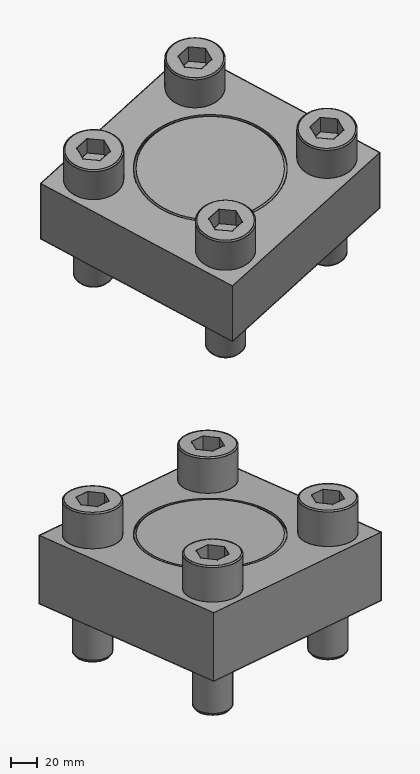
import cadquery as cq
import math

plate_side = 180.0
plate_thickness = 57.5

spigot_diameter = 135.0
spigot_height = 4.5

groove_outer_diameter = 114.3
groove_width = 2.0
groove_depth = 2.0

overall_height = 130.0
screw_spacing = 123.8
head_diameter = 45.0
head_height = 30.0
head_chamfer = 1.0
shank_diameter = 30.0
shank_tip_chamfer = 2.5
shank_tip_inset = 2.0
socket_across_flats = 22.0
socket_depth = 15.0

head_top = plate_thickness + head_height
shank_bottom = head_top - overall_height


def make_plate():
    """Plate and its spigot."""
    plate = cq.Workplane("XY").box(plate_side, plate_side, plate_thickness, centered=(True, True, False))
    spigot = cq.Workplane("XY").circle(spigot_diameter / 2).extrude(-spigot_height)
    return plate.union(spigot)


def make_ring_groove():
    """Ring with an upright outer wall and a sloping inner wall."""
    outer_radius = groove_outer_diameter / 2
    profile = (
        cq.Workplane("XZ")
        .moveTo(outer_radius - groove_width, plate_thickness)
        .lineTo(outer_radius, plate_thickness)
        .lineTo(outer_radius, plate_thickness - groove_depth)
        .close()
    )
    return profile.revolve(360, (0, 0, 0), (0, 1, 0))


def make_screw():
    """One screw on the Z axis, running down through the plate."""
    shank = (
        cq.Workplane("XY", origin=(0, 0, shank_bottom))
        .circle(shank_diameter / 2)
        .extrude(plate_thickness - shank_bottom)
        .faces("<Z")
        .chamfer(shank_tip_chamfer, shank_tip_inset)
    )
    head = (
        cq.Workplane("XY", origin=(0, 0, plate_thickness))
        .circle(head_diameter / 2)
        .extrude(head_height)
        .faces(">Z")
        .chamfer(head_chamfer)
    )
    socket_across_corners = socket_across_flats / math.cos(math.radians(30))
    socket = (
        cq.Workplane("XY", origin=(0, 0, head_top))
        .polygon(6, socket_across_corners)
        .extrude(-socket_depth)
        .rotate((0, 0, 0), (0, 0, 1), 30)
    )
    return shank.union(head).cut(socket)


result = make_plate().cut(make_ring_groove())

screw = make_screw()
for x_side in (-1, 1):
    for y_side in (-1, 1):
        screw_position = (x_side * screw_spacing / 2, y_side * screw_spacing / 2, 0)
        result = result.union(screw.translate(screw_position))